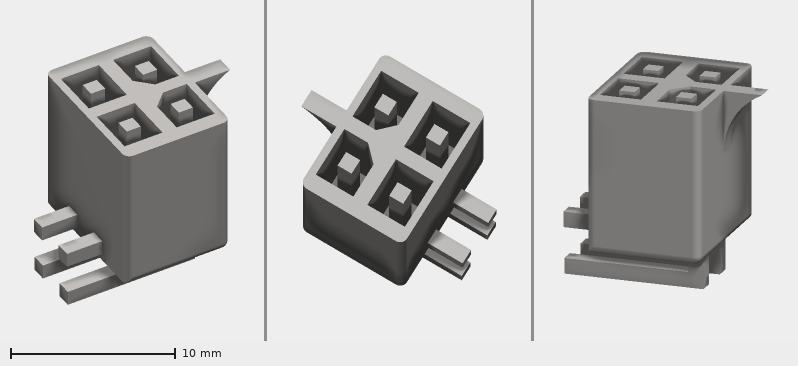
import cadquery as cq

HOUSING_LENGTH = 9.8
HOUSING_WIDTH = 7.36
HOUSING_HEIGHT = 9.92
EDGE_RADIUS = 0.5

CAVITY_LENGTH = 3.37
CAVITY_WIDTH = 2.68
CAVITY_WALL = 0.5
CAVITY_PITCH_X = 4.31
CAVITY_FLOOR = 2.0
KEY_CHAMFER = 1.0

CONTACT_SIZE = 1.0

LEAD_PITCH = 3.0
UPPER_LEAD_REACH = 2.5
UPPER_LEAD_BOTTOM = 0.5
LOWER_LEAD_DROP = 2.48
LOWER_LEAD_LENGTH = 9.0
LOWER_LEAD_INSET = 0.8

RIB_THICKNESS = 1.2
RIB_REACH = 2.5
RIB_DROP = 4.0

FRONT_Y = -HOUSING_WIDTH / 2
BACK_Y = HOUSING_WIDTH / 2
CAVITY_Y = HOUSING_WIDTH / 2 - CAVITY_WALL - CAVITY_WIDTH / 2
SIDES = (-1, 1)


def block(x_range, y_range, z_range):
    """Box spanning the given (low, high) ranges."""
    size = [high - low for low, high in (x_range, y_range, z_range)]
    corner = (x_range[0], y_range[0], z_range[0])
    return cq.Workplane("XY").box(*size, centered=False).translate(corner)


def around(centre, size):
    """Range of the given size centred on a coordinate."""
    return (centre - size / 2, centre + size / 2)


def make_housing():
    """Block with rounded vertical edges and rounded +X and +Y bottom edges."""
    body = block(around(0, HOUSING_LENGTH), around(0, HOUSING_WIDTH), (0, HOUSING_HEIGHT))
    upright_edges = body.edges("|Z")
    bottom_edges = body.faces("<Z").edges(">X or >Y")
    return upright_edges.add(bottom_edges).fillet(EDGE_RADIUS)


def make_cavity(column, row):
    """Rectangular cavity; in the +Y row the corner nearest the centre is chamfered."""
    centre_x = column * CAVITY_PITCH_X / 2
    centre_y = row * CAVITY_Y
    cavity = block(
        around(centre_x, CAVITY_LENGTH),
        around(centre_y, CAVITY_WIDTH),
        (CAVITY_FLOOR, HOUSING_HEIGHT),
    )
    if row > 0:
        inner_side = "<X" if column > 0 else ">X"
        cavity = cavity.edges("|Z").edges("<Y").edges(inner_side).chamfer(KEY_CHAMFER)
    return cavity


def make_pin(column, row):
    """Square pin standing on the cavity floor, its tip level with the housing top."""
    return block(
        around(column * CAVITY_PITCH_X / 2, CONTACT_SIZE),
        around(row * CAVITY_Y, CONTACT_SIZE),
        (CAVITY_FLOOR, HOUSING_HEIGHT),
    )


def make_upper_lead(centre_x):
    """Straight lead coming out of the -Y wall."""
    return block(
        around(centre_x, CONTACT_SIZE),
        (FRONT_Y - UPPER_LEAD_REACH, FRONT_Y),
        (UPPER_LEAD_BOTTOM, UPPER_LEAD_BOTTOM + CONTACT_SIZE),
    )


def make_lower_lead(centre_x):
    """Bent lead that drops from the housing bottom and turns toward -Y."""
    heel_y = BACK_Y - LOWER_LEAD_INSET
    x_range = around(centre_x, CONTACT_SIZE)
    leg = block(x_range, (heel_y - CONTACT_SIZE, heel_y), (-LOWER_LEAD_DROP, 0))
    foot = block(
        x_range,
        (heel_y - LOWER_LEAD_LENGTH, heel_y),
        (-LOWER_LEAD_DROP, CONTACT_SIZE - LOWER_LEAD_DROP),
    )
    return leg.union(foot)


def make_rib():
    """Latch rib with a concave arc that runs out tangent to the +Y wall."""
    radius = (RIB_REACH**2 + RIB_DROP**2) / (2 * RIB_REACH)
    arc_end_z = HOUSING_HEIGHT - RIB_DROP
    return (
        cq.Workplane("YZ")
        .moveTo(BACK_Y, HOUSING_HEIGHT)
        .lineTo(BACK_Y, arc_end_z)
        .radiusArc((BACK_Y + RIB_REACH, HOUSING_HEIGHT), radius)
        .close()
        .extrude(RIB_THICKNESS / 2, both=True)
    )


result = make_housing()
for column in SIDES:
    for row in SIDES:
        result = result.cut(make_cavity(column, row))
        result = result.union(make_pin(column, row))
    lead_x = column * LEAD_PITCH / 2
    result = result.union(make_upper_lead(lead_x))
    result = result.union(make_lower_lead(lead_x))
result = result.union(make_rib())